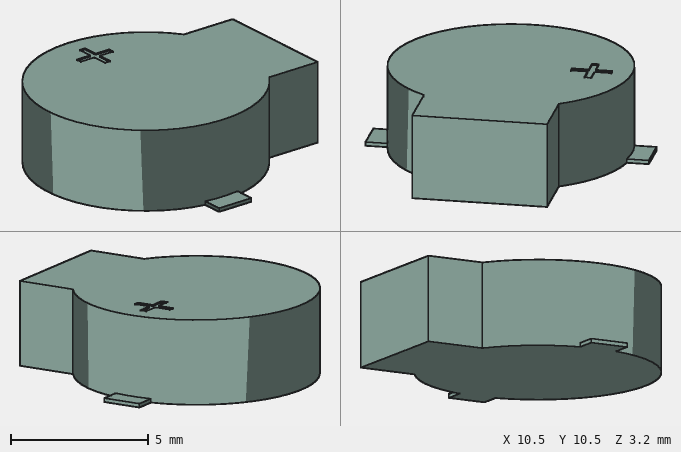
import cadquery as cq

case_diameter = 9.0
case_radius = case_diameter / 2
body_height = 3.2
snout_width = 5.0
snout_reach = 6.0

tab_span = 10.5
tab_width = 1.5
tab_thickness = 0.15

cross_x = -2.985
cross_length = 1.5
cross_arm_width = 0.25
cross_depth = 0.05


def make_block(length, width, height):
    """Box centred on the Z axis, standing on the XY plane."""
    return cq.Workplane("XY").box(length, width, height, centered=(True, True, False))


def make_case():
    return cq.Workplane("XY").circle(case_radius).extrude(body_height)


def make_snout():
    snout = make_block(snout_width, snout_reach, body_height)
    return snout.translate((0, snout_reach / 2, 0))


def make_tabs():
    """One strip running through the case leaves a tab on each side."""
    return make_block(tab_span, tab_width, tab_thickness)


def make_polarity_cross():
    bar_along_x = make_block(cross_length, cross_arm_width, cross_depth)
    bar_along_y = make_block(cross_arm_width, cross_length, cross_depth)
    cross = bar_along_x.union(bar_along_y)
    return cross.translate((cross_x, 0, body_height - cross_depth))


body = make_case().union(make_snout()).union(make_tabs())
result = body.cut(make_polarity_cross())